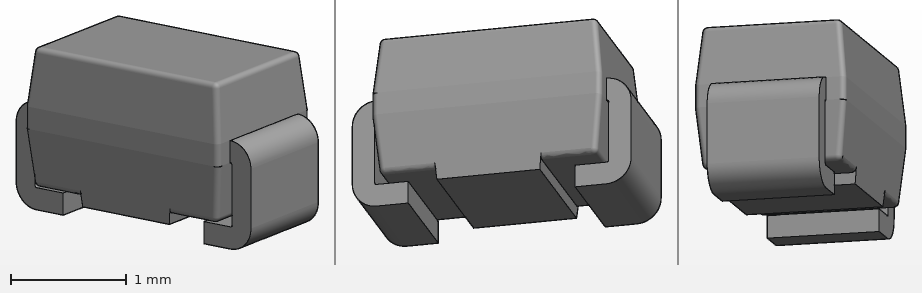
import cadquery as cq
import math

housing_length = 2.05
housing_width = 1.35
housing_top = 1.5
housing_bottom = 0.25
draft_angle = 6.0
edge_radius = 0.05

pedestal_length = 1.05
pedestal_bottom = 0.15

lead_thickness = 0.2
lead_width = 1.0
foot_length = 0.5
lead_inner_radius = 0.02
lead_outer_radius = lead_inner_radius + lead_thickness

half_height = (housing_top - housing_bottom - lead_thickness) / 2
band_bottom = housing_bottom + half_height
band_top = band_bottom + lead_thickness


def drafted_block(length, width, base_z, height):
    """Block that narrows by the draft angle away from base_z; a negative height goes down."""
    inset = abs(height) * math.tan(math.radians(draft_angle))
    return (
        cq.Workplane("XY", origin=(0, 0, base_z))
        .rect(length, width)
        .workplane(offset=height)
        .rect(length - 2 * inset, width - 2 * inset)
        .loft(ruled=True)
    )


def make_housing():
    band = (
        cq.Workplane("XY", origin=(0, 0, band_bottom))
        .rect(housing_length, housing_width)
        .extrude(lead_thickness)
    )
    upper_half = drafted_block(housing_length, housing_width, band_top, half_height)
    lower_half = drafted_block(housing_length, housing_width, band_bottom, -half_height)
    shell = band.union(upper_half).union(lower_half)

    corners = shell.edges("not #Z")
    rims = shell.faces("<Z or >Z").edges()
    shell = shell.newObject(corners.vals() + rims.vals()).fillet(edge_radius)

    pedestal_height = band_bottom - pedestal_bottom
    pedestal = drafted_block(pedestal_length, housing_width, band_bottom, -pedestal_height)
    return shell.union(pedestal)


def make_lead(side):
    """C-shaped lead at one end of the housing; side is -1 or +1 along X."""
    bend_x = housing_length / 2
    outer_x = bend_x + lead_outer_radius
    inner_x = bend_x + lead_inner_radius
    foot_end_x = outer_x - foot_length

    upper_bend_z = band_top - lead_outer_radius
    lower_bend_z = lead_outer_radius
    mid_bend = math.cos(math.radians(45))
    outer_reach = lead_outer_radius * mid_bend
    inner_reach = lead_inner_radius * mid_bend

    lead = (
        cq.Workplane("XZ")
        .moveTo(bend_x, band_top)
        .threePointArc((bend_x + outer_reach, upper_bend_z + outer_reach), (outer_x, upper_bend_z))
        .lineTo(outer_x, lower_bend_z)
        .threePointArc((bend_x + outer_reach, lower_bend_z - outer_reach), (bend_x, 0))
        .lineTo(foot_end_x, 0)
        .lineTo(foot_end_x, lead_thickness)
        .lineTo(bend_x, lead_thickness)
        .threePointArc((bend_x + inner_reach, lower_bend_z - inner_reach), (inner_x, lower_bend_z))
        .lineTo(inner_x, upper_bend_z)
        .threePointArc((bend_x + inner_reach, upper_bend_z + inner_reach), (bend_x, band_bottom))
        .close()
        .extrude(lead_width / 2, both=True)
    )
    return lead if side > 0 else lead.mirror("YZ")


housing = make_housing()
leads = [make_lead(side) for side in (-1, 1)]

result = cq.Compound.makeCompound([housing.val(), *[lead.val() for lead in leads]])